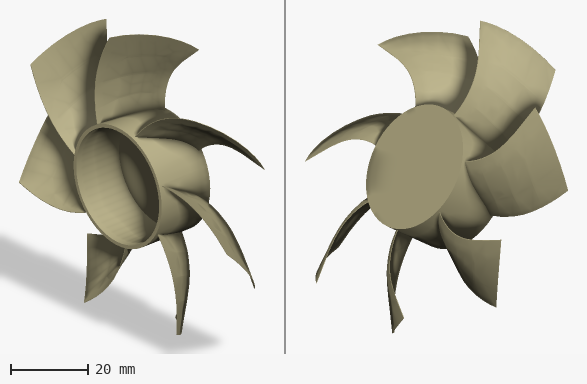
import cadquery as cq
import math

HUB_DIAMETER = 34.0
BORE_DIAMETER = 32.0
HUB_LENGTH = 17.0
FLOOR_THICKNESS = 2.0

BLADE_COUNT = 7
BLADE_PITCH = 360.0 / BLADE_COUNT
END_MARGIN = 1.0
BLADE_THICKNESS = 0.2
BLADE_HALF_WIDTH = HUB_LENGTH / 2 - END_MARGIN
ROOT_RADIUS = (HUB_DIAMETER + BORE_DIAMETER) / 4
SPAN_RADII = [ROOT_RADIUS, 22.0, 28.0, 34.0]

BLADE_SECTIONS = [
    (-BLADE_HALF_WIDTH, 41.35, [122.7, 116.6, 110.3, 103.7, 95.8]),
    (0.0, 42.35, [109.6, 106.0, 100.3, 93.6, 85.4]),
    (4.5, 42.25, [100.0, 97.8, 92.7, 86.0, 77.6]),
    (BLADE_HALF_WIDTH, 41.55, [87.6, 88.0, 84.3, 78.0, 70.7]),
]


def make_hub():
    """Cup with its open end at -Y and its floor at +Y."""
    rear_y = HUB_LENGTH / 2
    floor_y = rear_y - FLOOR_THICKNESS
    body = cq.Workplane("XZ", origin=(0, rear_y, 0)).circle(HUB_DIAMETER / 2).extrude(HUB_LENGTH)
    bore = (
        cq.Workplane("XZ", origin=(0, floor_y, 0))
        .circle(BORE_DIAMETER / 2)
        .extrude(HUB_LENGTH - FLOOR_THICKNESS)
    )
    return body.cut(bore)


def blade_side(y, tip_radius, angles, offset):
    """Points along a section, shifted around the hub axis by an arc length."""
    points = []
    for radius, degrees in zip(SPAN_RADII + [tip_radius], angles):
        angle = math.radians(degrees) + offset / radius
        points.append(cq.Vector(radius * math.cos(angle), y, radius * math.sin(angle)))
    return points


def blade_section(y, tip_radius, angles):
    """Closed thin outline of one blade section."""
    left = blade_side(y, tip_radius, angles, BLADE_THICKNESS / 2)
    right = blade_side(y, tip_radius, angles, -BLADE_THICKNESS / 2)
    return cq.Wire.assembleEdges(
        [
            cq.Edge.makeSpline(left),
            cq.Edge.makeLine(left[-1], right[-1]),
            cq.Edge.makeSpline(right[::-1]),
            cq.Edge.makeLine(right[0], left[0]),
        ]
    )


def make_blade():
    """One twisted blade, lofted from its front edge at -Y to its back edge at +Y."""
    sections = [blade_section(y, tip_radius, angles) for y, tip_radius, angles in BLADE_SECTIONS]
    return cq.Workplane("XY").add(cq.Solid.makeLoft(sections))


result = make_hub()
blade = make_blade()
for index in range(BLADE_COUNT):
    result = result.union(blade.rotate((0, 0, 0), (0, 1, 0), index * BLADE_PITCH))